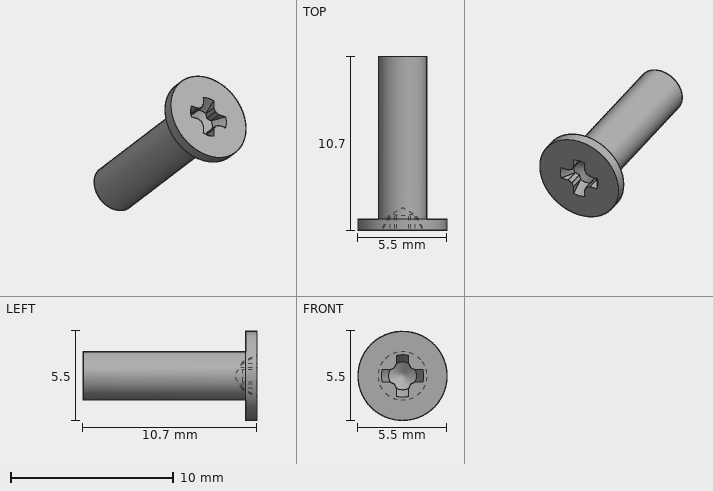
import cadquery as cq

total_length = 10.7
head_diameter = 5.5
head_thickness = 0.7
shank_diameter = 3.0

recess_mouth_radius = 1.31
recess_floor_radius = 0.86
recess_wall_depth = 0.9
recess_floor_height = 0.49
recess_tip_depth = recess_wall_depth + recess_floor_height
wing_width = 0.76
facet_start = 0.76
facet_corner = 0.5


def cylinder_along_y(diameter, length):
    return cq.Workplane("XZ").circle(diameter / 2).extrude(-length)


def recess_cone():
    """Tapered wall closed by a conical floor, revolved about Y."""
    return (
        cq.Workplane("XY")
        .polyline([
            (0, 0),
            (recess_mouth_radius, 0),
            (recess_floor_radius, recess_wall_depth),
            (0, recess_tip_depth),
        ])
        .close()
        .revolve(360, (0, 0, 0), (0, 1, 0))
    )


def cross_prism():
    """Cross outline whose inner corners are each cut back by two flat facets."""
    half_width = wing_width / 2
    wing_end = 1.5 * recess_mouth_radius
    first_quarter = [
        (wing_end, half_width),
        (facet_start, half_width),
        (facet_corner, facet_corner),
        (half_width, facet_start),
        (half_width, wing_end),
    ]
    outline = []
    quarter = first_quarter
    for _ in range(4):
        outline += quarter
        quarter = [(-v, u) for u, v in quarter]
    return cq.Workplane("XZ").polyline(outline).close().extrude(-recess_tip_depth)


head = cylinder_along_y(head_diameter, head_thickness)
shank = cylinder_along_y(shank_diameter, total_length)
recess = recess_cone().intersect(cross_prism())

result = head.union(shank).cut(recess)